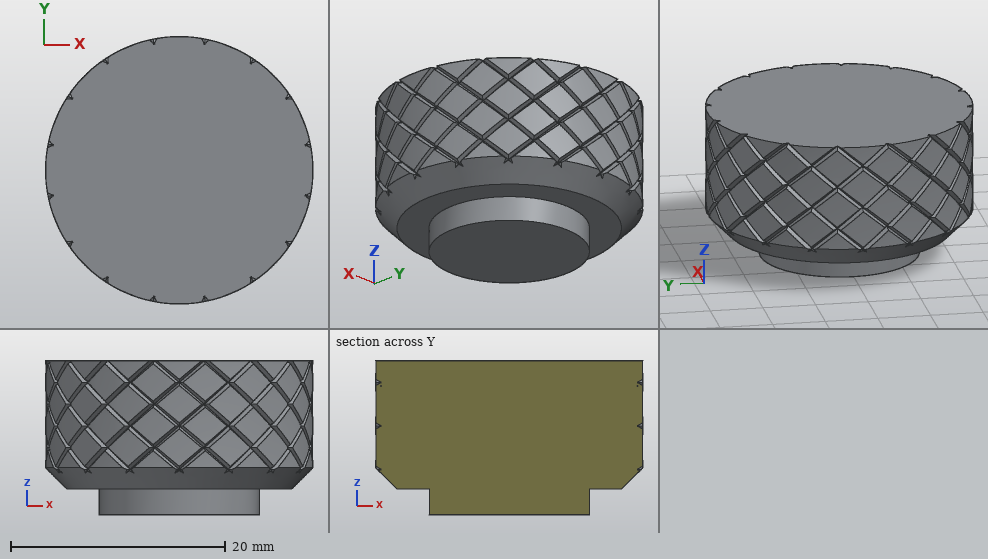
import cadquery as cq

head_diameter = 25.0
boss_diameter = 15.0
total_height = 14.4
boss_height = 2.4
chamfer_size = 2.0

groove_count = 16
groove_depth = 0.5
groove_width = 0.7
helix_pitch = 65.0
groove_overrun = 0.5

head_radius = head_diameter / 2
groove_step = 360 / groove_count


def make_body():
    """Plain knob: a cylindrical head with a chamfered lower edge, on a smaller boss."""
    boss = cq.Workplane("XY").circle(boss_diameter / 2).extrude(boss_height)
    head = (
        cq.Workplane("XY")
        .workplane(offset=boss_height)
        .circle(head_radius)
        .extrude(total_height - boss_height)
        .faces("<Z")
        .edges()
        .chamfer(chamfer_size)
    )
    return boss.union(head)


def make_groove_cutter(hand):
    """One helical V cutter falling from the top face; hand is +1 or -1."""
    run_out_z = boss_height + chamfer_size - groove_depth
    cut_height = total_height - run_out_z + groove_overrun
    twist = hand * 360 * cut_height / helix_pitch

    floor_radius = head_radius - groove_depth
    outer_radius = head_radius + groove_overrun
    outer_half_width = groove_width / 2 * (outer_radius - floor_radius) / groove_depth
    return (
        cq.Workplane("XY")
        .polyline([
            (floor_radius, 0),
            (outer_radius, outer_half_width),
            (outer_radius, -outer_half_width),
        ])
        .close()
        .twistExtrude(cut_height, twist)
        .rotate((0, 0, 0), (1, 0, 0), 180)
        .translate((0, 0, total_height))
    )


result = make_body()
for hand in (1, -1):
    cutters = (
        cq.Workplane("XY")
        .polarArray(0, groove_step / 2, 360, groove_count)
        .eachpoint(make_groove_cutter(hand).val(), combine=False)
    )
    result = result.cut(cutters)